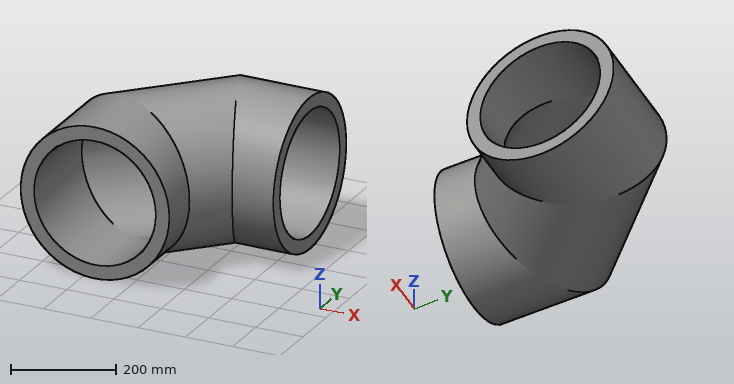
import cadquery as cq

overall_size = 462.5
outer_diameter = 315.0
wall_thickness = 28.5
end_leg_length = 152.0

outer_radius = outer_diameter / 2
inner_radius = outer_radius - wall_thickness
centreline_reach = overall_size - outer_radius

centreline_points = [
    (0, 0),
    (0, end_leg_length),
    (centreline_reach - end_leg_length, centreline_reach),
    (centreline_reach, centreline_reach),
]


def mitred_cylinder(radius):
    """Solid round bar following the centreline with sharp mitred corners."""
    path = cq.Workplane("XY").polyline(centreline_points)
    return cq.Workplane("XZ").circle(radius).sweep(path, transition="right")


result = mitred_cylinder(outer_radius).cut(mitred_cylinder(inner_radius))